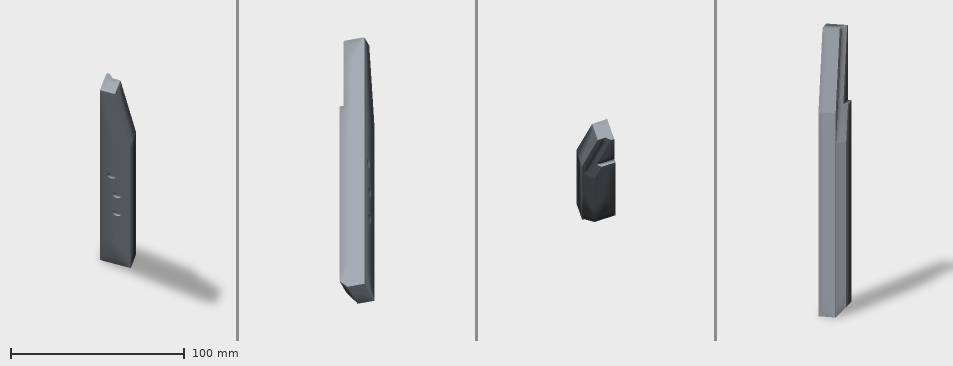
import cadquery as cq
import math

width = 18.7
depth = 15.0
length = 170.0

tip_width = 9.2
taper_length = 48.0
taper_slope = (width - tip_width) / taper_length

plate_depth = 10.2
rib_height = depth - plate_depth
rib_width = 17.5
rib_tip_width = 4.5
rib_taper_length = (rib_width - rib_tip_width) / taper_slope
bevel_angle = 45.0

relief_length = 44.7
relief_depth = 2.2

hole_diameter = 5.1
hole_depth = 8.5
drill_point_angle = 118.0
hole_spacing = 18.0
lowest_hole_z = 51.2
lower_holes_x = 10.2
upper_hole_x = 7.0
hole_centres = [
    (lower_holes_x, lowest_hole_z),
    (lower_holes_x, lowest_hole_z + hole_spacing),
    (upper_hole_x, lowest_hole_z + 2 * hole_spacing),
]


def box_between(low, high):
    """Axis-aligned box between two opposite corners."""
    size = [b - a for a, b in zip(low, high)]
    return cq.Workplane("XY").box(*size, centered=False).translate(low)


def make_plate():
    """Flat bar whose right side tapers towards the upper end."""
    outline = [
        (0, 0),
        (width, 0),
        (width, length - taper_length),
        (tip_width, length),
        (0, length),
    ]
    return cq.Workplane("XZ").polyline(outline).close().extrude(-plate_depth)


def make_rib():
    """Rib bevelled along its right side and lower end, flush at the left and top."""
    margin = 2 * rib_height
    outline = [
        (-margin, 0),
        (rib_width, 0),
        (rib_width, length - rib_taper_length),
        (rib_tip_width - margin * taper_slope, length + margin),
        (-margin, length + margin),
    ]
    rib = (
        cq.Workplane("XZ", origin=(0, plate_depth, 0))
        .polyline(outline)
        .close()
        .extrude(-rib_height, taper=bevel_angle)
    )
    return rib.intersect(box_between((0, 0, 0), (width, depth, length)))


def make_drilled_hole(x, z):
    """Blind hole from the front face ending in a conical drill point."""
    radius = hole_diameter / 2
    point_length = radius / math.tan(math.radians(drill_point_angle / 2))
    profile = [
        (0, 0),
        (radius, 0),
        (radius, hole_depth),
        (0, hole_depth + point_length),
    ]
    drill = cq.Workplane("XY").polyline(profile).close().revolve(360, (0, 0), (0, 1))
    return drill.translate((x, 0, z))


relief = box_between(
    (0, depth - relief_depth, length - relief_length),
    (width, depth, length),
)
result = make_plate().union(make_rib()).cut(relief)
for hole_x, hole_z in hole_centres:
    result = result.cut(make_drilled_hole(hole_x, hole_z))